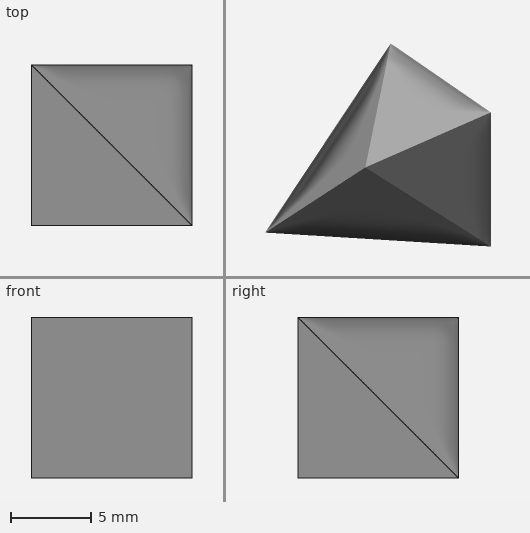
import cadquery as cq

SIDE = 10.0


def flat_face(points):
    """Planar face bounded by straight edges through the given points."""
    return cq.Face.makeFromWires(cq.Wire.makePolygon(points, close=True))


def corner_tetrahedron(x, y, z):
    """Tetrahedron spanned by a cube corner and its three neighbouring corners."""
    corner = cq.Vector(x, y, z)
    along_x = cq.Vector(SIDE - x, y, z)
    along_y = cq.Vector(x, SIDE - y, z)
    along_z = cq.Vector(x, y, SIDE - z)
    faces = [
        flat_face([corner, along_x, along_y]),
        flat_face([corner, along_y, along_z]),
        flat_face([corner, along_z, along_x]),
        flat_face([along_x, along_y, along_z]),
    ]
    return cq.Solid.makeSolid(cq.Shell.makeShell(faces))


removed_corners = [
    (0, SIDE, 0),
    (SIDE, SIDE, SIDE),
]

result = cq.Workplane("XY").box(SIDE, SIDE, SIDE, centered=False)
for removed_corner in removed_corners:
    result = result.cut(cq.Workplane(obj=corner_tetrahedron(*removed_corner)))